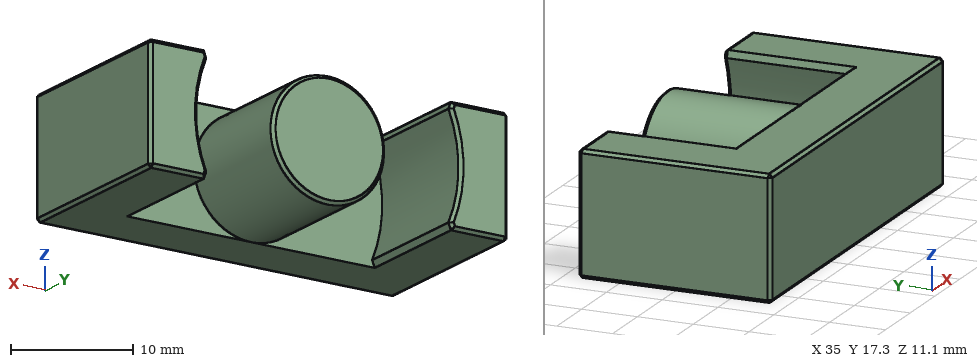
import cadquery as cq
import math

length = 35.0
depth = 17.3
height = 11.1
back_thickness = 5.53
post_diameter = height
edge_chamfer = 0.3

window_radius = 12.8
lip_half_width = 11.83
mouth_half_width = 12.08

window_length = depth - back_thickness
half_height = height / 2
lip_height = math.sqrt(window_radius**2 - lip_half_width**2)


def make_body():
    """Rectangular block with every outer edge chamfered, centred on X and Z."""
    block = cq.Workplane("XY").box(length, depth, height)
    return block.edges().chamfer(edge_chamfer).translate((0, depth / 2, 0))


def make_window():
    """Opening with concave side walls and bevelled lips, cut in from the leg ends."""
    return (
        cq.Workplane("XZ", origin=(0, depth, 0))
        .moveTo(-mouth_half_width, half_height)
        .lineTo(mouth_half_width, half_height)
        .lineTo(lip_half_width, lip_height)
        .threePointArc((window_radius, 0), (lip_half_width, -lip_height))
        .lineTo(mouth_half_width, -half_height)
        .lineTo(-mouth_half_width, -half_height)
        .lineTo(-lip_half_width, -lip_height)
        .threePointArc((-window_radius, 0), (-lip_half_width, lip_height))
        .close()
        .extrude(window_length)
    )


def make_post():
    """Centre post, rooted in the back plate and chamfered at its free end."""
    root_depth = back_thickness / 2
    return (
        cq.Workplane("XZ", origin=(0, depth, 0))
        .circle(post_diameter / 2)
        .extrude(window_length + root_depth)
        .faces(">Y")
        .chamfer(edge_chamfer)
    )


def chamfer_inner_leg_ends(body):
    """Chamfer the concave and bevelled edges where the window meets the leg ends."""
    inner_edges = cq.selectors.BoxSelector(
        (-window_radius - edge_chamfer, depth - edge_chamfer, -half_height),
        (window_radius + edge_chamfer, depth + edge_chamfer, half_height),
    )
    return body.faces(">Y").edges(inner_edges).chamfer(edge_chamfer)


legged_body = chamfer_inner_leg_ends(make_body().cut(make_window()))
result = legged_body.union(make_post())